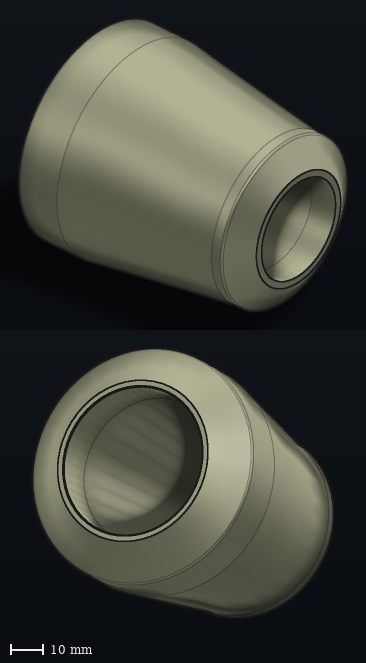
import cadquery as cq
import math

length = 90.0

large_diameter = 76.1
small_diameter = 60.3
large_cylinder_end = 22.95
small_cylinder_start = 80.1

bevel_angle = math.radians(30)
large_face_diameter = 51.8
small_face_diameter = 40.1

bevel_edge_radius = 1.0

large_bore_diameter = 47.7
small_bore_diameter = 35.3
large_bore_end = 14.85
bore_entry_chamfer = 0.315
small_bore_start = 80.1

large_radius = large_diameter / 2
small_radius = small_diameter / 2
large_face_radius = large_face_diameter / 2
small_face_radius = small_face_diameter / 2
large_bore_radius = large_bore_diameter / 2
small_bore_radius = small_bore_diameter / 2

large_bevel_length = (large_radius - large_face_radius) * math.tan(bevel_angle)
small_bevel_length = (small_radius - small_face_radius) * math.tan(bevel_angle)

half_section = (
    cq.Workplane("XY")
    .moveTo(bore_entry_chamfer, large_bore_radius)
    .lineTo(0, large_bore_radius + bore_entry_chamfer)
    .lineTo(0, large_face_radius)
    .lineTo(large_bevel_length, large_radius)
    .lineTo(large_cylinder_end, large_radius)
    .lineTo(small_cylinder_start, small_radius)
    .lineTo(length - small_bevel_length, small_radius)
    .lineTo(length, small_face_radius)
    .lineTo(length, small_bore_radius)
    .lineTo(small_bore_start, small_bore_radius)
    .lineTo(large_bore_end, large_bore_radius)
    .close()
)

body = half_section.revolve(360, (0, 0, 0), (1, 0, 0))


def rim_selector(position):
    """Select the outer circular edge at the given place along X."""
    return cq.selectors.BoxSelector(
        (position - bevel_edge_radius, -large_radius, -large_radius),
        (position + bevel_edge_radius, large_radius, large_radius),
    )


rims = rim_selector(large_bevel_length) + rim_selector(length - small_bevel_length)
result = body.edges(rims).fillet(bevel_edge_radius)